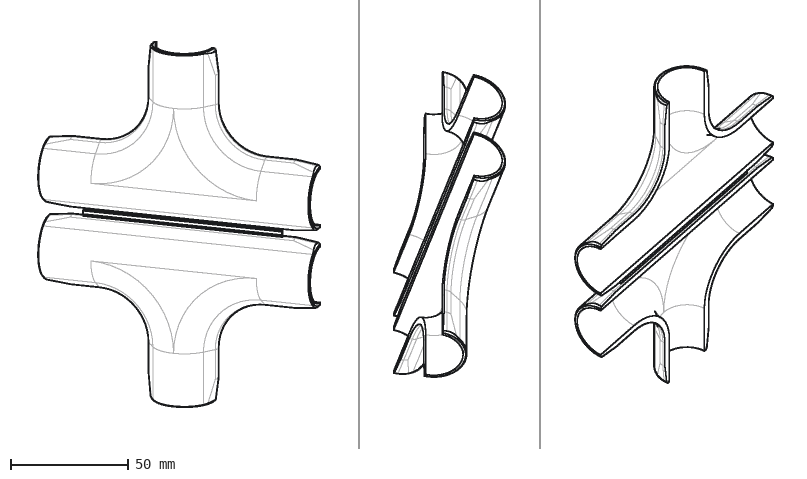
import cadquery as cq
import math


run_length = 123.0
overall_height = 158.1
stem_end = overall_height / 2
run_end = run_length / 2

outer_radius = 14.0
bore_radius = 12.5
rim_half_width = 15.7
flank_angle = 35.5
rim_fillet = 3.3

run_height = 17.4
bend_radius = 37.5
bend_height = run_height + bend_radius

taper_length = 10.9
port_half_width = 14.2
port_fillet = 8.5
end_chamfer = 0.6

hinge_length = 90.1
hinge_back = 1.5
hinge_web_front = 1.9
hinge_rib_front = 2.4
hinge_rib_base = 1.19
hinge_rib_top = 0.71
hinge_overlap = 0.8


def half_shell_section(plane, half_width=rim_half_width, fillet=rim_fillet):
    """Half section of the outer skin: x is sideways, y is the height over the split plane."""
    angle = math.radians(flank_angle)
    flank_top = (outer_radius * math.cos(angle), outer_radius * math.sin(angle))
    corner_height = (outer_radius - half_width * math.cos(angle)) / math.sin(angle)
    setback = fillet * math.tan(angle / 2)
    fillet_start = (half_width, corner_height - setback)
    fillet_end = (half_width - setback * math.sin(angle), corner_height + setback * math.cos(angle))
    fillet_mid = (
        half_width - fillet * (1 - math.cos(angle / 2)),
        fillet_start[1] + fillet * math.sin(angle / 2),
    )
    crown_angle = (angle + math.pi / 2) / 2
    crown_mid = (outer_radius * math.cos(crown_angle), outer_radius * math.sin(crown_angle))
    return (
        cq.Workplane(plane)
        .lineTo(half_width, 0)
        .lineTo(*fillet_start)
        .threePointArc(fillet_mid, fillet_end)
        .lineTo(*flank_top)
        .threePointArc(crown_mid, (0, outer_radius))
        .close()
    )


def half_bore_section(plane):
    """Half section of the bore: a quarter disc."""
    diagonal = bore_radius * math.sqrt(0.5)
    return (
        cq.Workplane(plane)
        .lineTo(bore_radius, 0)
        .threePointArc((diagonal, diagonal), (0, bore_radius))
        .close()
    )


def tee_solid(half_section, depth, end_gap):
    """Solid upper tee of a half section, with its flat front at `depth` from the split plane.

    Its straight tubes stop `end_gap` short of the ports.
    """
    run_plane = cq.Plane((end_gap - run_end, 0, run_height), xDir=(0, 0, 1), normal=(1, 0, 0))
    half_run = half_section(run_plane).extrude(run_length - 2 * end_gap)
    run = half_run.union(half_run.mirror("XY", (0, 0, run_height)))

    stem_plane = cq.Plane((0, 0, bend_height), xDir=(1, 0, 0), normal=(0, 0, -1))
    half_stem = half_section(stem_plane).extrude(bend_height + end_gap - stem_end)
    elbow = half_section(stem_plane).revolve(90, (bend_radius, 0), (bend_radius, 1))
    half_branch = half_stem.union(elbow)
    branch = half_branch.union(half_branch.mirror("YZ"))

    arc_inset = bend_radius * (1 - math.sqrt(0.5))
    core = (
        cq.Workplane("XZ")
        .moveTo(-bend_radius, run_height)
        .lineTo(bend_radius, run_height)
        .threePointArc((arc_inset, run_height + arc_inset), (0, bend_height))
        .threePointArc((-arc_inset, run_height + arc_inset), (-bend_radius, run_height))
        .close()
        .extrude(depth)
    )
    return run.union(branch).union(core)


def tapered_port():
    """Solid tube end along +Z whose rim narrows toward the port, starting at the origin."""
    start_plane = cq.Plane((0, 0, 0), xDir=(-1, 0, 0), normal=(0, 0, 1))
    end_plane = cq.Plane((0, 0, taper_length), xDir=(-1, 0, 0), normal=(0, 0, 1))
    start_wire = half_shell_section(start_plane).val()
    end_wire = half_shell_section(end_plane, port_half_width, port_fillet).val()
    half_port = cq.Workplane(cq.Solid.makeLoft([start_wire, end_wire], True))
    port = half_port.union(half_port.mirror("YZ"))

    bevel = (
        cq.Workplane("XZ")
        .moveTo(port_half_width - end_chamfer, taper_length)
        .lineTo(port_half_width + end_chamfer, taper_length)
        .lineTo(port_half_width + end_chamfer, taper_length - 2 * end_chamfer)
        .close()
        .revolve(360, (0, 0), (0, 1))
    )
    return port.cut(bevel)


def half_shell_tee():
    """Upper tee: thin shell with three tapered ports."""
    port = tapered_port()
    run_port = port.rotate((0, 0, 0), (0, 1, 0), 90).translate((run_end - taper_length, 0, run_height))
    stem_port = port.translate((0, 0, stem_end - taper_length))
    outside = tee_solid(half_shell_section, outer_radius, taper_length)
    outside = outside.union(run_port).union(run_port.mirror("YZ")).union(stem_port)
    return outside.cut(tee_solid(half_bore_section, bore_radius, 0))


def film_hinge():
    """Thin web joining the two rims, with a trapezoidal rib along its middle."""
    web_half_width = run_height - rim_half_width + hinge_overlap
    plane = cq.Plane((-hinge_length / 2, 0, 0), xDir=(0, 0, 1), normal=(1, 0, 0))
    outline = [
        (-web_half_width, hinge_back),
        (web_half_width, hinge_back),
        (web_half_width, hinge_web_front),
        (hinge_rib_base, hinge_web_front),
        (hinge_rib_top, hinge_rib_front),
        (-hinge_rib_top, hinge_rib_front),
        (-hinge_rib_base, hinge_web_front),
        (-web_half_width, hinge_web_front),
    ]
    return cq.Workplane(plane).polyline(outline).close().extrude(hinge_length)


upper_tee = half_shell_tee()
lower_tee = upper_tee.mirror("XY")
result = upper_tee.union(lower_tee).union(film_hinge())